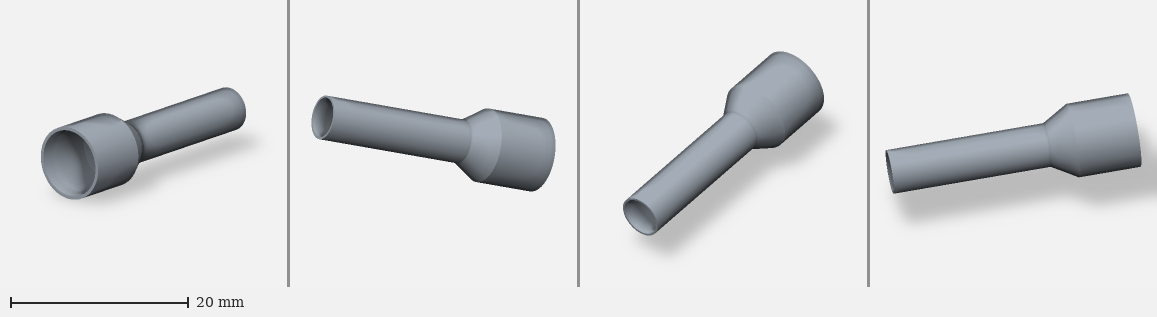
import cadquery as cq

total_length = 28.0
tube_length = 18.0
sleeve_length = 7.05
cone_end = total_length - tube_length

sleeve_outer_radius = 8.4 / 2
sleeve_bore_radius = 7.65 / 2
tube_outer_radius = 4.98 / 2
tube_bore_radius = 4.5 / 2


def funnel(sleeve_radius, tube_radius):
    """Solid of revolution about Y: wide cylinder, cone, then narrow cylinder."""
    return (
        cq.Workplane("XY")
        .moveTo(0, 0)
        .lineTo(sleeve_radius, 0)
        .lineTo(sleeve_radius, sleeve_length)
        .lineTo(tube_radius, cone_end)
        .lineTo(tube_radius, total_length)
        .lineTo(0, total_length)
        .close()
        .revolve(360, (0, 0, 0), (0, 1, 0))
    )


outside = funnel(sleeve_outer_radius, tube_outer_radius)
bore = funnel(sleeve_bore_radius, tube_bore_radius)
result = outside.cut(bore)